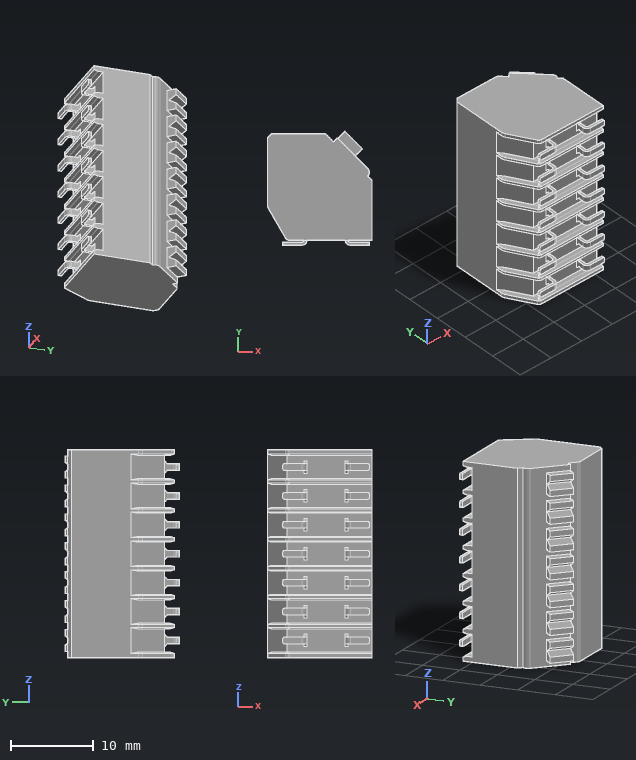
import cadquery as cq
import math


LENGTH = 25.2
WIDTH = 12.7
DEPTH = 12.93
CELLS = 7
PITCH = 3.5
LEFT_CHAMFER = 0.5
ENTRY_CHAMFER = 5.67
ENTRY_ROUND = 0.5
LOWER_CUT_WIDTH = 2.35
LOWER_SLOPE = 60.0
LOWER_CUT_HEIGHT = LOWER_CUT_WIDTH * math.tan(math.radians(LOWER_SLOPE))
WALL_ROUND = 1.0
FOOT_ROUND = 0.5

PAD_START = 1.39
PAD_LENGTH = 5.9
PAD_HEIGHT = 0.65
BUTTON_SETBACK = 0.08
BUTTON_START = PAD_START + BUTTON_SETBACK
BUTTON_LENGTH = 3.02
BUTTON_HEIGHT = 1.2
BUTTON_WIDTH = 2.67
GROOVE_WIDTH = 1.1
GROOVE_DEPTH = 0.95

POCKET_DEPTH = 1.18
POCKET_TOP = 5.27
POCKET_WIDTH = 2.82
RIB_CHAMFER_WIDTH = 0.15
RIB_CHAMFER_DEPTH = 0.5

PIN_THICKNESS = 0.38
PIN_WIDTH = 0.8
PIN_ROOT_WIDTH = 1.5
PIN_BEND = 0.63
PIN_DROP = 0.6
PIN_EMBED = 0.25
PIN_TIP_ROUND = 0.23
PIN_TIPS = (1.86, 12.37)
PIN_LEG_OUTER = 4.81

MARGIN = 1.25


def rounded_corner_points(corner, before, after, radius):
    """Start, middle and end of the arc that rounds the corner between two unit directions."""
    turn = math.acos(before[0] * after[0] + before[1] * after[1])
    reach = radius / math.tan(turn / 2)
    start = (corner[0] + reach * before[0], corner[1] + reach * before[1])
    end = (corner[0] + reach * after[0], corner[1] + reach * after[1])
    bisector = (before[0] + after[0], before[1] + after[1])
    gap = (radius / math.sin(turn / 2) - radius) / math.hypot(*bisector)
    middle = (corner[0] + gap * bisector[0], corner[1] + gap * bisector[1])
    return start, middle, end


def lower_left_outline():
    """Open outline down the left wall, along the slope and on to the mounting side."""
    slope = math.radians(LOWER_SLOPE)
    up_slope = (-math.cos(slope), math.sin(slope))
    down_slope = (math.cos(slope), -math.sin(slope))
    wall = rounded_corner_points((0, LOWER_CUT_HEIGHT), (0, 1), down_slope, WALL_ROUND)
    foot = rounded_corner_points((LOWER_CUT_WIDTH, 0), up_slope, (1, 0), FOOT_ROUND)
    return (
        cq.Workplane("XY")
        .moveTo(*wall[0])
        .threePointArc(wall[1], wall[2])
        .lineTo(*foot[0])
        .threePointArc(foot[1], foot[2])
    )


def make_housing():
    entry_edge = cq.NearestToPointSelector((WIDTH - ENTRY_CHAMFER, DEPTH, 0))
    return (
        lower_left_outline()
        .lineTo(WIDTH, 0)
        .lineTo(WIDTH, DEPTH - ENTRY_CHAMFER)
        .lineTo(WIDTH - ENTRY_CHAMFER, DEPTH)
        .lineTo(LEFT_CHAMFER, DEPTH)
        .lineTo(0, DEPTH - LEFT_CHAMFER)
        .close()
        .extrude(LENGTH / 2, both=True)
        .edges("|Z")
        .edges(entry_edge)
        .fillet(ENTRY_ROUND)
    )


def make_rib_flank():
    """Sloped rib flank: the rounded housing section, drawn in as it rises."""
    taper = math.degrees(math.atan(RIB_CHAMFER_DEPTH / RIB_CHAMFER_WIDTH))
    return (
        lower_left_outline()
        .lineTo(WIDTH + MARGIN, 0)
        .lineTo(WIDTH + MARGIN, DEPTH)
        .lineTo(0, DEPTH)
        .close()
        .extrude(RIB_CHAMFER_WIDTH, taper=taper)
    )


def make_pocket():
    """Space between two ribs, centred on Z = 0, wider at the mouth."""
    floor_corner = (POCKET_TOP - POCKET_DEPTH) / math.tan(math.radians(LOWER_SLOPE))
    mouth_half = POCKET_WIDTH / 2 + RIB_CHAMFER_WIDTH
    space = (
        cq.Workplane("XY")
        .moveTo(0, POCKET_TOP)
        .lineTo(floor_corner, POCKET_DEPTH)
        .lineTo(WIDTH + MARGIN, POCKET_DEPTH)
        .lineTo(WIDTH + MARGIN, -MARGIN)
        .lineTo(-MARGIN, -MARGIN)
        .lineTo(-MARGIN, POCKET_TOP)
        .close()
        .extrude(mouth_half, both=True)
    )
    lower_flank = make_rib_flank().translate((0, 0, -mouth_half))
    return space.cut(lower_flank).cut(lower_flank.mirror("XY"))


def entry_plane():
    """Plane on the 45 degree face: local X runs down the face, local Y points out of it."""
    return cq.Plane(
        origin=(WIDTH - ENTRY_CHAMFER, DEPTH, 0), xDir=(1, -1, 0), normal=(0, 0, 1)
    )


def make_pad():
    return (
        cq.Workplane(entry_plane())
        .moveTo(PAD_START, -MARGIN)
        .lineTo(PAD_START, PAD_HEIGHT)
        .lineTo(PAD_START + PAD_LENGTH - PAD_HEIGHT, PAD_HEIGHT)
        .radiusArc((PAD_START + PAD_LENGTH, 0), PAD_HEIGHT)
        .lineTo(PAD_START + PAD_LENGTH, -MARGIN)
        .close()
        .extrude(LENGTH / 2, both=True)
    )


def make_button():
    """Button with a V groove along its top, centred on Z = 0."""
    top = PAD_HEIGHT + BUTTON_HEIGHT
    face = entry_plane()
    section = cq.Plane(
        origin=face.toWorldCoords((BUTTON_START, 0, 0)), xDir=(0, 0, -1), normal=face.xDir
    )
    return (
        cq.Workplane(section)
        .moveTo(-BUTTON_WIDTH / 2, 0)
        .lineTo(-BUTTON_WIDTH / 2, top)
        .lineTo(-GROOVE_WIDTH / 2, top)
        .lineTo(0, top - GROOVE_DEPTH)
        .lineTo(GROOVE_WIDTH / 2, top)
        .lineTo(BUTTON_WIDTH / 2, top)
        .lineTo(BUTTON_WIDTH / 2, 0)
        .close()
        .extrude(BUTTON_LENGTH)
    )


def make_left_pin():
    """Bent strip: a flared leg out of the pocket floor and a foot running towards -X."""
    tip = PIN_TIPS[0]
    leg_inner = PIN_LEG_OUTER - PIN_THICKNESS
    bend_start = PIN_LEG_OUTER - PIN_BEND
    root = POCKET_DEPTH + PIN_EMBED
    strip = (
        cq.Workplane("XY")
        .moveTo(PIN_LEG_OUTER, root)
        .lineTo(PIN_LEG_OUTER, PIN_BEND - PIN_DROP)
        .radiusArc((bend_start, -PIN_DROP), PIN_BEND)
        .lineTo(tip, -PIN_DROP)
        .lineTo(tip, PIN_THICKNESS - PIN_DROP)
        .lineTo(bend_start, PIN_THICKNESS - PIN_DROP)
        .radiusArc((leg_inner, PIN_BEND - PIN_DROP), -(PIN_BEND - PIN_THICKNESS))
        .lineTo(leg_inner, root)
        .close()
        .extrude(PIN_WIDTH / 2, both=True)
        .edges("|Y and <X")
        .fillet(PIN_TIP_ROUND)
    )
    flare_end = POCKET_DEPTH - (PIN_ROOT_WIDTH - PIN_WIDTH) / 2
    flare = (
        cq.Workplane("ZY", origin=(PIN_LEG_OUTER, 0, 0))
        .moveTo(-PIN_ROOT_WIDTH / 2, root)
        .lineTo(-PIN_ROOT_WIDTH / 2, POCKET_DEPTH)
        .lineTo(-PIN_WIDTH / 2, flare_end)
        .lineTo(PIN_WIDTH / 2, flare_end)
        .lineTo(PIN_ROOT_WIDTH / 2, POCKET_DEPTH)
        .lineTo(PIN_ROOT_WIDTH / 2, root)
        .close()
        .extrude(PIN_THICKNESS)
    )
    return strip.union(flare)


result = make_housing().union(make_pad())

pocket = make_pocket()
button = make_button()
left_pin = make_left_pin()
right_pin = left_pin.mirror("YZ").translate((sum(PIN_TIPS), 0, 0))
for index in range(CELLS):
    cell_centre = (0, 0, (index - (CELLS - 1) / 2) * PITCH)
    result = result.cut(pocket.translate(cell_centre))
    for detail in (button, left_pin, right_pin):
        result = result.union(detail.translate(cell_centre))